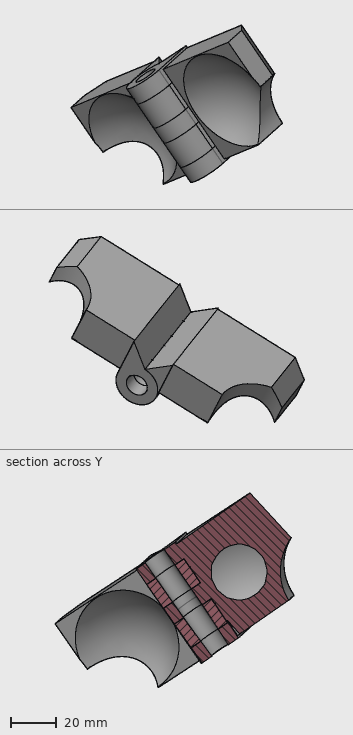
import cadquery as cq

barrel_radius = 10.0
bore_diameter = 10.0
right_knuckle_length = 8.0
left_knuckle_length = 12.9
barrel_length = 3 * right_knuckle_length + 2 * left_knuckle_length

leaf_inner_x = barrel_radius
leaf_length = 48.1
leaf_outer_x = leaf_inner_x + leaf_length
leaf_height = 48.0
leaf_front_y = 2.1
leaf_back_y = 20.1
back_chamfer = 8.0

bowl_rim_radius = 23.6
bowl_depth = 12.2
bowl_sphere_radius = (bowl_rim_radius**2 + bowl_depth**2) / (2 * bowl_depth)
bowl_x = 34.9
notch_radius = bowl_rim_radius
notch_overhang = 0.6
notch_x = leaf_outer_x + notch_overhang

turn_x = 18.3
turn_y = -30.2
turn_z = -27.3

knuckle_lengths = [
    right_knuckle_length,
    left_knuckle_length,
    right_knuckle_length,
    left_knuckle_length,
    right_knuckle_length,
]


def knuckle_spans(side):
    """Bottom height and length of each knuckle carried by the leaf on this side (+1 right, -1 left)."""
    first = 0 if side > 0 else 1
    return [
        (sum(knuckle_lengths[:i]) - barrel_length / 2, knuckle_lengths[i])
        for i in range(first, len(knuckle_lengths), 2)
    ]


def barrel_cylinder(bottom, length):
    return cq.Workplane("XY", origin=(0, 0, bottom)).circle(barrel_radius).extrude(length)


def leaf_block(side):
    """Leaf block with its back outer edge chamfered."""
    outline = [
        (side * leaf_inner_x, leaf_front_y),
        (side * leaf_outer_x, leaf_front_y),
        (side * leaf_outer_x, leaf_back_y - back_chamfer),
        (side * (leaf_outer_x - back_chamfer), leaf_back_y),
        (side * leaf_inner_x, leaf_back_y),
    ]
    return cq.Workplane("XY").polyline(outline).close().extrude(leaf_height / 2, both=True)


def hinge_web(side):
    """Web along the whole barrel, joining the leaf to the knuckles, with a sloping back."""
    outline = [
        (0, 0),
        (side * leaf_inner_x, 0),
        (side * leaf_inner_x, leaf_back_y),
        (0, barrel_radius),
    ]
    return cq.Workplane("XY").polyline(outline).close().extrude(barrel_length / 2, both=True)


def bowl(side):
    centre_y = leaf_front_y + bowl_depth - bowl_sphere_radius
    return cq.Workplane("XY").sphere(bowl_sphere_radius).translate((side * bowl_x, centre_y, 0))


def corner_notch(side):
    corner = (side * notch_x, 0, -leaf_height / 2)
    return cq.Workplane("XZ", origin=corner).circle(notch_radius).extrude(-leaf_back_y)


def hinge_leaf(side):
    block = leaf_block(side).cut(bowl(side)).cut(corner_notch(side))
    web = hinge_web(side)
    for bottom, length in knuckle_spans(-side):
        web = web.cut(barrel_cylinder(bottom, length))
    leaf = block.union(web)
    for bottom, length in knuckle_spans(side):
        leaf = leaf.union(barrel_cylinder(bottom, length))
    bore = cq.Workplane("XY").circle(bore_diameter / 2).extrude(barrel_length / 2, both=True)
    return leaf.cut(bore)


def place(body):
    turned = body.rotate((0, 0, 0), (1, 0, 0), turn_x)
    turned = turned.rotate((0, 0, 0), (0, 1, 0), turn_y)
    return turned.rotate((0, 0, 0), (0, 0, 1), turn_z)


left_leaf = place(hinge_leaf(-1))
right_leaf = place(hinge_leaf(1))

result = cq.Compound.makeCompound([left_leaf.val(), right_leaf.val()])